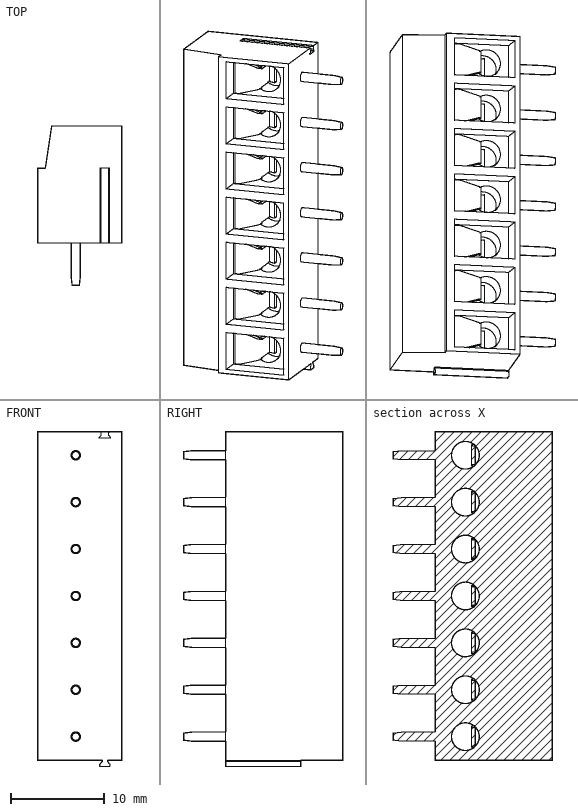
import cadquery as cq
import math


poles = 7
pitch = 5.0
end_margin = 0.018
housing_height = poles * pitch + 2 * end_margin
housing_width = 9.0
housing_depth = 12.5
step_y = 8.0
step_x = 0.82
slope_top_x = 1.5

pin_x = 4.05
pin_radius = 0.5
pin_tip_radius = 0.4
pin_length = 4.5
pin_tip_length = 0.9

joint_x = 7.17
joint_depth = 0.68
joint_overlap = 0.18
groove_mouth_half_width = 0.5
groove_lip_depth = 0.1
groove_neck_half_width = 0.4
groove_base_half_width = 0.6
groove_neck_depth = 0.4
groove_shoulder_depth = 0.6
tail_neck_half_width = 0.3
tail_base_half_width = 0.75
tail_neck_depth = 0.1
tail_round_radius = 0.16

pocket_depth = 2.2
pocket_height = 4.05
pocket_low_y = 0.57
pocket_high_y = 7.1
pocket_floor_low_y = 0.85

hole_y = 3.2
hole_radius = 1.45
hole_depth = 2.5

leaf_thickness = 0.57
bend_radius = 0.43
leaf_high_y = 6.85
leaf_taper_y = 6.25
leaf_wide_half_height = 1.82
leaf_narrow_half_height = 1.1
tongue_half_height = 1.0
tongue_front_y = 3.85
tongue_back_y = 4.28
foot_end_y = 3.15
foot_thickness = 0.2
foot_rise = 0.32

leaf_top_x = pocket_depth - leaf_thickness
hole_bottom_x = pocket_depth + hole_depth


def make_housing():
    outline = [
        (0, 0),
        (housing_width, 0),
        (housing_width, housing_depth),
        (slope_top_x, housing_depth),
        (step_x, step_y),
        (0, step_y),
    ]
    return cq.Workplane("XY").polyline(outline).close().extrude(housing_height)


def joint_prism(half_profile, top_z):
    """Prism along Y from (half width, depth below top_z) points, mirrored about joint_x."""
    right = [(joint_x + half, top_z - depth) for half, depth in half_profile]
    left = [(joint_x - half, top_z - depth) for half, depth in reversed(half_profile)]
    return cq.Workplane("XZ").polyline(right + left).close().extrude(-step_y)


def make_groove():
    profile = [
        (groove_mouth_half_width, 0),
        (groove_neck_half_width, groove_lip_depth),
        (groove_neck_half_width, groove_neck_depth),
        (groove_base_half_width, groove_shoulder_depth),
        (groove_base_half_width, joint_depth),
    ]
    return joint_prism(profile, housing_height)


def make_tail():
    profile = [
        (tail_neck_half_width, -joint_overlap),
        (tail_neck_half_width, tail_neck_depth),
        (tail_base_half_width, joint_depth),
    ]
    return joint_prism(profile, 0).faces("<Z").edges("|Y").fillet(tail_round_radius)


def slab(outline, half_height, z):
    """Prism of an XY outline, centred on height z."""
    base = cq.Workplane("XY", origin=(0, 0, z - half_height))
    return base.polyline(outline).close().extrude(2 * half_height)


def make_opening(z):
    """Pocket and wire hole of the pole at height z."""
    outline = [
        (0, pocket_low_y),
        (pocket_depth, pocket_floor_low_y),
        (pocket_depth, pocket_high_y),
        (0, pocket_high_y),
    ]
    pocket = slab(outline, pocket_height / 2, z)
    hole = cq.Workplane("YZ", origin=(0, hole_y, z)).circle(hole_radius).extrude(hole_bottom_x)
    return pocket.union(hole)


def make_clamp(z):
    """Tapered leaf with rounded ends, tongue and sloping foot of the pole at height z."""
    bend_inset = bend_radius * (1 - math.sqrt(0.5))
    bend_end_x = leaf_top_x + bend_radius
    side = (
        cq.Workplane("XY", origin=(0, 0, z - leaf_wide_half_height))
        .moveTo(pocket_depth, leaf_high_y)
        .lineTo(bend_end_x, leaf_high_y)
        .threePointArc(
            (leaf_top_x + bend_inset, leaf_high_y - bend_inset),
            (leaf_top_x, leaf_high_y - bend_radius),
        )
        .lineTo(leaf_top_x, tongue_front_y + bend_radius)
        .threePointArc(
            (leaf_top_x + bend_inset, tongue_front_y + bend_inset),
            (bend_end_x, tongue_front_y),
        )
        .lineTo(pocket_depth, tongue_front_y)
        .close()
        .extrude(2 * leaf_wide_half_height)
    )
    plan = (
        cq.Workplane("YZ", origin=(0, 0, z))
        .polyline([
            (leaf_high_y, leaf_wide_half_height),
            (leaf_taper_y, leaf_wide_half_height),
            (tongue_front_y, leaf_narrow_half_height),
            (tongue_front_y, -leaf_narrow_half_height),
            (leaf_taper_y, -leaf_wide_half_height),
            (leaf_high_y, -leaf_wide_half_height),
        ])
        .close()
        .extrude(pocket_depth)
    )
    foot_root_x = hole_bottom_x - foot_thickness
    tongue = slab([
        (pocket_depth, tongue_back_y),
        (pocket_depth, tongue_front_y),
        (foot_root_x, tongue_front_y),
        (foot_root_x - foot_rise, foot_end_y),
        (hole_bottom_x, foot_end_y),
        (hole_bottom_x, tongue_back_y),
    ], tongue_half_height, z)
    return side.intersect(plan).union(tongue)


def make_pin(z):
    """Round pin with a tapered tip; it starts flush with the pin face."""
    half_profile = [
        (pin_x, 0),
        (pin_x - pin_radius, 0),
        (pin_x - pin_radius, pin_tip_length - pin_length),
        (pin_x - pin_tip_radius, -pin_length),
        (pin_x, -pin_length),
    ]
    pin = cq.Workplane("XY").polyline(half_profile).close()
    return pin.revolve(axisStart=(pin_x, 0, 0), axisEnd=(pin_x, 1, 0)).translate((0, 0, z))


result = make_housing().cut(make_groove()).union(make_tail())
for pole in range(poles):
    pole_z = end_margin + (pole + 0.5) * pitch
    result = result.cut(make_opening(pole_z)).union(make_clamp(pole_z)).union(make_pin(pole_z))